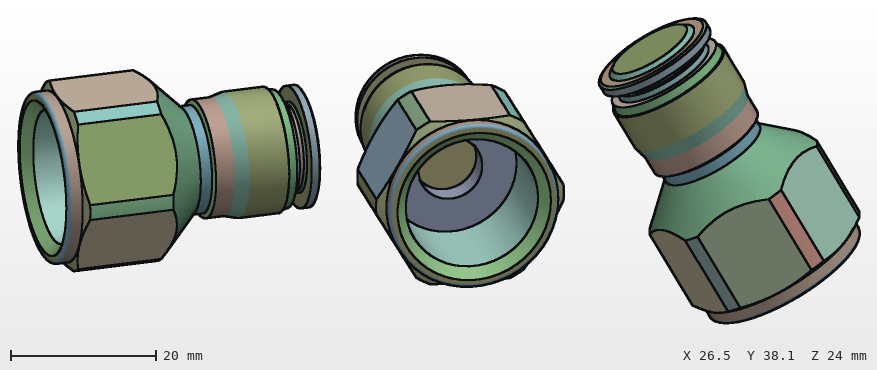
import cadquery as cq

total_length = 38.1

hex_across_flats = 24.0
hex_corner_radius = 13.25
hex_across_corners = hex_across_flats / 0.75 ** 0.5
hex_start = 2.02
hex_chamfer_end = 2.7

collar_radius = 11.95
collar_rounding = 0.5

neck_radius = 7.55
neck_start = 20.42
shoulder_start = neck_start - (hex_corner_radius - neck_radius)
neck_end = 22.05

body_base_radius = 8.25
body_radius = 8.8
body_base_start = 22.4
taper_start = 25.1
taper_end = 27.1
body_end = 32.8
cap_radius = 8.55
cap_end_radius = 8.25
cap_end = 34.1
inner_rim_radius = 7.1
inner_rim_end_radius = 6.82
inner_rim_end = 34.95

sleeve_radius = 6.1
sleeve_flare_radius = 6.35
sleeve_flare_start = 35.75
flange_radius = 8.55
flange_start = 36.1
flange_end = 37.5
flange_chamfer_width = 0.45
flange_chamfer_length = 0.23
nose_base_radius = 6.7
nose_radius = 5.9

mouth_radius = 10.82
socket_radius = 9.35
mouth_taper_length = mouth_radius - socket_radius
socket_depth = 15.25
passage_radius = 4.5
passage_depth = 19.05


def revolve_about_y(profile):
    """Revolve a closed (radius, station) outline about the Y axis."""
    outline = cq.Workplane("XY").polyline(profile).close()
    return outline.revolve(360, (0, 0, 0), (0, 1, 0))


def make_turned_body():
    """Turned envelope: collar, hexagon blank, shoulder, neck, body and release sleeve."""
    return revolve_about_y([
        (0, 0),
        (collar_radius, 0),
        (collar_radius, hex_start),
        (hex_corner_radius, hex_chamfer_end),
        (hex_corner_radius, shoulder_start),
        (neck_radius, neck_start),
        (neck_radius, neck_end),
        (body_base_radius, body_base_start),
        (body_base_radius, taper_start),
        (body_radius, taper_end),
        (body_radius, body_end),
        (cap_radius, body_end),
        (cap_end_radius, cap_end),
        (inner_rim_radius, cap_end),
        (inner_rim_end_radius, inner_rim_end),
        (sleeve_radius, inner_rim_end),
        (sleeve_radius, sleeve_flare_start),
        (sleeve_flare_radius, flange_start),
        (flange_radius, flange_start),
        (flange_radius, flange_end - flange_chamfer_length),
        (flange_radius - flange_chamfer_width, flange_end),
        (nose_base_radius, flange_end),
        (nose_radius, total_length),
        (0, total_length),
    ])


def make_hex_prism():
    """Full-length hexagon with flats facing up and down and corners on the X axis."""
    return cq.Workplane("XZ").polygon(6, hex_across_corners).extrude(-total_length)


def make_socket():
    """Tapered mouth, main bore and a smaller blind passage beyond it."""
    return revolve_about_y([
        (0, 0),
        (mouth_radius, 0),
        (socket_radius, mouth_taper_length),
        (socket_radius, socket_depth),
        (passage_radius, socket_depth),
        (passage_radius, passage_depth),
        (0, passage_depth),
    ])


blank = make_turned_body().faces("<Y").edges().fillet(collar_rounding)
result = blank.intersect(make_hex_prism()).cut(make_socket())